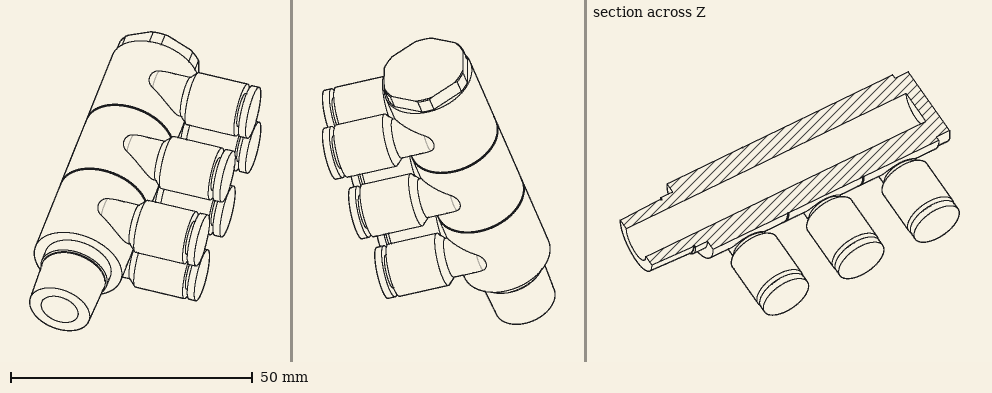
import cadquery as cq
import math

TOTAL_LENGTH = 70.15
TOTAL_WIDTH = 33.5

THREAD_TIP_DIAMETER = 13.05
THREAD_ROOT_DIAMETER = 13.75
COLLAR_DIAMETER = 14.4
COLLAR_START = 10.1
NECK_DIAMETER = 13.3
NECK_LENGTH = 0.3
BORE_DIAMETER = 8.0

BODY_DIAMETER = 19.0
BODY_START = 12.9
SECTION_LENGTH = 18.0
SECTION_COUNT = 3
GROOVE_DIAMETER = 18.8
GROOVE_WIDTH = 0.3
BODY_END = BODY_START + SECTION_COUNT * SECTION_LENGTH

HEX_ACROSS_FLATS = 17.05
HEX_CORNER_DIAMETER = 18.4
HEX_CHAMFER = 0.2

PORT_OFFSET = 5.6
STEM_DIAMETER = 8.3
STEM_START = 0.55
STEM_END_RADIUS = 2.4
BARREL_DIAMETER = 11.1
CONE_START = BODY_DIAMETER / 2
CONE_LENGTH = 1.5
BARREL_END = 21.55
RING_NECK_DIAMETER = 7.0
RING_DIAMETER = 10.9
RING_START = 22.5
PORT_END = TOTAL_WIDTH - BODY_DIAMETER / 2


def cylinder_along_y(diameter, start, end):
    """Solid cylinder on the main axis between two Y positions."""
    plane = cq.Workplane("XZ", origin=(0, start, 0))
    return plane.circle(diameter / 2).extrude(start - end)


def make_body():
    """Stacked cylindrical sections with a shallow groove at each joint."""
    body = cylinder_along_y(BODY_DIAMETER, BODY_START, BODY_END)
    for joint in range(1, SECTION_COUNT):
        center = BODY_START + joint * SECTION_LENGTH
        start = center - GROOVE_WIDTH / 2
        end = center + GROOVE_WIDTH / 2
        blank = cylinder_along_y(BODY_DIAMETER, start, end)
        body = body.cut(blank.cut(cylinder_along_y(GROOVE_DIAMETER, start, end)))
    return body


def make_threaded_end():
    """Tapered thread envelope, relief neck and collar, turned about the main axis."""
    neck_start = COLLAR_START - NECK_LENGTH
    profile = [
        (0, 0),
        (THREAD_TIP_DIAMETER / 2, 0),
        (THREAD_ROOT_DIAMETER / 2, neck_start),
        (NECK_DIAMETER / 2, neck_start),
        (NECK_DIAMETER / 2, COLLAR_START),
        (COLLAR_DIAMETER / 2, COLLAR_START),
        (COLLAR_DIAMETER / 2, BODY_START),
        (0, BODY_START),
    ]
    return cq.Workplane("XY").polyline(profile).close().revolve(360, (0, 0, 0), (0, 1, 0))


def make_hex_cap():
    """Hexagon with flats facing +X and -X and its corners turned to a cylinder."""
    across_corners = HEX_ACROSS_FLATS / math.cos(math.pi / 6)
    hexagon = (
        cq.Workplane("XZ", origin=(0, BODY_END, 0))
        .transformed(rotate=(0, 0, 30))
        .polygon(6, across_corners)
        .extrude(BODY_END - TOTAL_LENGTH)
    )
    turned = cylinder_along_y(HEX_CORNER_DIAMETER, BODY_END, TOTAL_LENGTH)
    return hexagon.intersect(turned.faces(">Y").chamfer(HEX_CHAMFER))


def make_port(y, z):
    """Round-ended stem, flared barrel and release ring, turned about an axis along X."""
    stem_radius = STEM_DIAMETER / 2
    barrel_radius = BARREL_DIAMETER / 2
    neck_radius = RING_NECK_DIAMETER / 2
    ring_radius = RING_DIAMETER / 2
    end_radius = stem_radius - STEM_END_RADIUS
    arc_end = STEM_START + STEM_END_RADIUS
    arc_middle = STEM_END_RADIUS * math.sqrt(0.5)
    profile = (
        cq.Workplane("XY")
        .moveTo(STEM_START, 0)
        .lineTo(STEM_START, end_radius)
        .threePointArc((arc_end - arc_middle, end_radius + arc_middle), (arc_end, stem_radius))
        .lineTo(CONE_START, stem_radius)
        .lineTo(CONE_START + CONE_LENGTH, barrel_radius)
        .lineTo(BARREL_END, barrel_radius)
        .lineTo(BARREL_END, neck_radius)
        .lineTo(RING_START, neck_radius)
        .lineTo(RING_START, ring_radius)
        .lineTo(PORT_END, ring_radius)
        .lineTo(PORT_END, 0)
        .close()
    )
    return profile.revolve(360, (0, 0, 0), (1, 0, 0)).translate((0, y, z))


result = make_body().union(make_threaded_end()).union(make_hex_cap())
for section in range(SECTION_COUNT):
    port_y = BODY_START + (section + 0.5) * SECTION_LENGTH
    for port_z in (-PORT_OFFSET, PORT_OFFSET):
        result = result.union(make_port(port_y, port_z))

result = result.cut(cylinder_along_y(BORE_DIAMETER, 0, BODY_END))